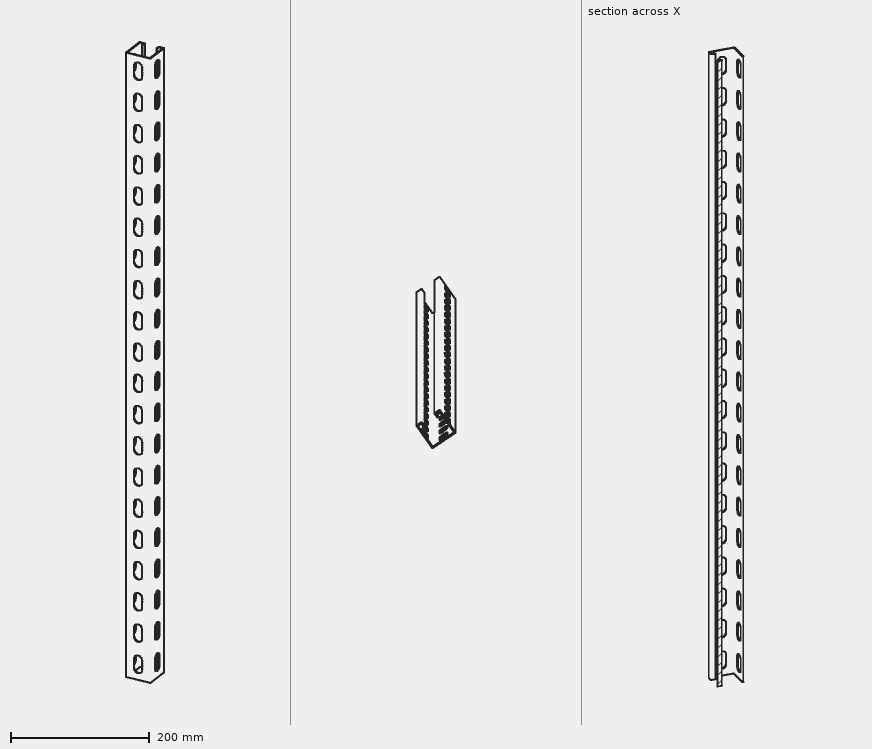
import cadquery as cq

width = 41.0
depth = 41.0
length = 1000.0
sheet_thickness = 2.0
bend_radius = 1.0
mouth_width = 22.0
lip_depth = 7.5

slot_width = 14.0
slot_length = 28.0
slot_pitch = 50.0
slot_count = round(length / slot_pitch)

wall_x = width / 2
lip_x = mouth_width / 2
back_y = -depth / 2
front_y = depth / 2


def sharp_channel():
    """Extrude the C section with sharp bends, half outline mirrored about the YZ plane."""
    lip_end_y = front_y - lip_depth
    right_half = [
        (0, back_y),
        (wall_x, back_y),
        (wall_x, front_y),
        (lip_x, front_y),
        (lip_x, lip_end_y),
        (lip_x + sheet_thickness, lip_end_y),
        (lip_x + sheet_thickness, front_y - sheet_thickness),
        (wall_x - sheet_thickness, front_y - sheet_thickness),
        (wall_x - sheet_thickness, back_y + sheet_thickness),
        (0, back_y + sheet_thickness),
    ]
    section = cq.Workplane("XY", origin=(0, 0, -length / 2)).polyline(right_half).mirrorY()
    return section.extrude(length)


def round_bends(bar):
    """Round each bend on the outside and the inside of the sheet, on both sides of the YZ plane."""
    bend_corners = [
        (wall_x, back_y),
        (wall_x, front_y),
        (lip_x, front_y),
        (wall_x - sheet_thickness, back_y + sheet_thickness),
        (wall_x - sheet_thickness, front_y - sheet_thickness),
        (lip_x + sheet_thickness, front_y - sheet_thickness),
    ]
    for x, y in bend_corners:
        for side in (-1, 1):
            bar = bar.edges(cq.NearestToPointSelector((side * x, y, 0))).fillet(bend_radius)
    return bar


def slot_row(plane, reach):
    """Cutter for one row of slots, reaching both ways from the named plane."""
    return (
        cq.Workplane(plane)
        .rarray(1, slot_pitch, 1, slot_count)
        .slot2D(slot_length, slot_width, 90)
        .extrude(reach, both=True)
    )


side_slots = slot_row("YZ", width)
web_slots = slot_row("XZ", sheet_thickness).translate((0, back_y, 0))
result = round_bends(sharp_channel()).cut(side_slots).cut(web_slots)